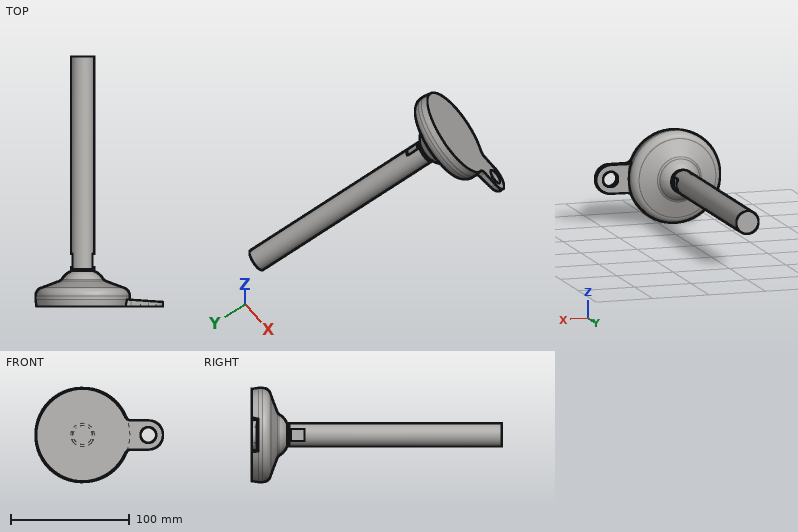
import cadquery as cq
import math

TOTAL_LENGTH = 211.5

SOLE_RADIUS = 39.1
RIM_RADIUS = 40.0
TAPER_TOP = 6.0
RIM_TOP = 9.0
SHOULDER_RADIUS = 34.0
SHOULDER_HEIGHT = 16.3
CONE_TOP_RADIUS = 19.5
CONE_TOP_HEIGHT = 21.8
DOME_BASE_RADIUS = 17.8
DOME_BASE_HEIGHT = 23.0
COLLAR_BASE_HEIGHT = 30.0
FOOT_HEIGHT = 30.7
SHOULDER_BULGE = 1.65
DOME_BULGE = 0.8
BLEND_BULGE = -0.1

EAR_CENTER_X = 55.6
EAR_RADIUS = 12.5
EAR_HOLE_DIAMETER = 13.1
EAR_TIP_THICKNESS = 4.0
EAR_ROOT_FILLET = 6.0

STEM_RADIUS = 10.0
NECK_RADIUS = 8.0
NECK_TOP = 32.0
FLAT_BOTTOM = 33.5
FLAT_TOP = 44.6
ACROSS_FLATS = 17.1


def bulge_point(start, end, bulge):
    """Point beside the middle of a chord, offset outward from the Y axis by bulge."""
    dx = end[0] - start[0]
    dy = end[1] - start[1]
    chord = math.hypot(dx, dy)
    mid_x = (start[0] + end[0]) / 2
    mid_y = (start[1] + end[1]) / 2
    return (mid_x + bulge * dy / chord, mid_y - bulge * dx / chord)


def make_foot_body():
    """Turned disc with a rounded shoulder, a conical flank and a domed crown under a thin collar."""
    rim = (RIM_RADIUS, RIM_TOP)
    shoulder = (SHOULDER_RADIUS, SHOULDER_HEIGHT)
    cone_top = (CONE_TOP_RADIUS, CONE_TOP_HEIGHT)
    dome_base = (DOME_BASE_RADIUS, DOME_BASE_HEIGHT)
    crown = (STEM_RADIUS, COLLAR_BASE_HEIGHT)
    profile = (
        cq.Workplane("XY")
        .lineTo(SOLE_RADIUS, 0)
        .lineTo(RIM_RADIUS, TAPER_TOP)
        .lineTo(*rim)
        .threePointArc(bulge_point(rim, shoulder, SHOULDER_BULGE), shoulder)
        .lineTo(*cone_top)
        .threePointArc(bulge_point(cone_top, dome_base, BLEND_BULGE), dome_base)
        .threePointArc(bulge_point(dome_base, crown, DOME_BULGE), crown)
        .lineTo(STEM_RADIUS, FOOT_HEIGHT)
        .lineTo(0, FOOT_HEIGHT)
        .close()
    )
    return profile.revolve(360, (0, 0, 0), (0, 1, 0))


def make_ear():
    """Rounded tab with a hole, filleted into the rim and thinning toward its tip."""
    tip_x = EAR_CENTER_X + EAR_RADIUS
    fillet_z = EAR_RADIUS + EAR_ROOT_FILLET
    fillet_x = math.sqrt((SOLE_RADIUS + EAR_ROOT_FILLET) ** 2 - fillet_z**2)
    root_angle = math.atan2(fillet_z, fillet_x)
    root_x = SOLE_RADIUS * math.cos(root_angle)
    root_z = SOLE_RADIUS * math.sin(root_angle)
    mid_angle = (root_angle + math.pi / 2) / 2
    mid_x = fillet_x - EAR_ROOT_FILLET * math.cos(mid_angle)
    mid_z = fillet_z - EAR_ROOT_FILLET * math.sin(mid_angle)

    tab = (
        cq.Workplane("XZ")
        .lineTo(root_x, root_z)
        .threePointArc((mid_x, mid_z), (fillet_x, EAR_RADIUS))
        .lineTo(EAR_CENTER_X, EAR_RADIUS)
        .threePointArc((tip_x, 0), (EAR_CENTER_X, -EAR_RADIUS))
        .lineTo(fillet_x, -EAR_RADIUS)
        .threePointArc((mid_x, -mid_z), (root_x, -root_z))
        .close()
        .extrude(-TAPER_TOP)
    )
    side_profile = (
        cq.Workplane("XY")
        .lineTo(tip_x, 0)
        .lineTo(tip_x, EAR_TIP_THICKNESS)
        .lineTo(RIM_RADIUS, TAPER_TOP)
        .lineTo(0, TAPER_TOP)
        .close()
        .extrude(SOLE_RADIUS, both=True)
    )
    hole = (
        cq.Workplane("XZ")
        .center(EAR_CENTER_X, 0)
        .circle(EAR_HOLE_DIAMETER / 2)
        .extrude(-TAPER_TOP)
    )
    return tab.intersect(side_profile).cut(hole)


def make_stem():
    """Round rod on a narrower neck, with two wrench flats facing -X and +X."""
    rod = (
        cq.Workplane("XY")
        .moveTo(0, FOOT_HEIGHT)
        .lineTo(NECK_RADIUS, FOOT_HEIGHT)
        .lineTo(NECK_RADIUS, NECK_TOP)
        .lineTo(STEM_RADIUS, NECK_TOP)
        .lineTo(STEM_RADIUS, TOTAL_LENGTH)
        .lineTo(0, TOTAL_LENGTH)
        .close()
        .revolve(360, (0, 0, 0), (0, 1, 0))
    )
    flat_length = FLAT_TOP - FLAT_BOTTOM
    flat_middle = (FLAT_TOP + FLAT_BOTTOM) / 2
    for side in (-1, 1):
        cutter_x = side * (ACROSS_FLATS / 2 + STEM_RADIUS / 2)
        cutter = cq.Workplane("XY").box(STEM_RADIUS, flat_length, 2 * STEM_RADIUS)
        rod = rod.cut(cutter.translate((cutter_x, flat_middle, 0)))
    return rod


foot = make_foot_body().union(make_ear())
stem = make_stem()

result = cq.Compound.makeCompound([foot.val(), stem.val()])